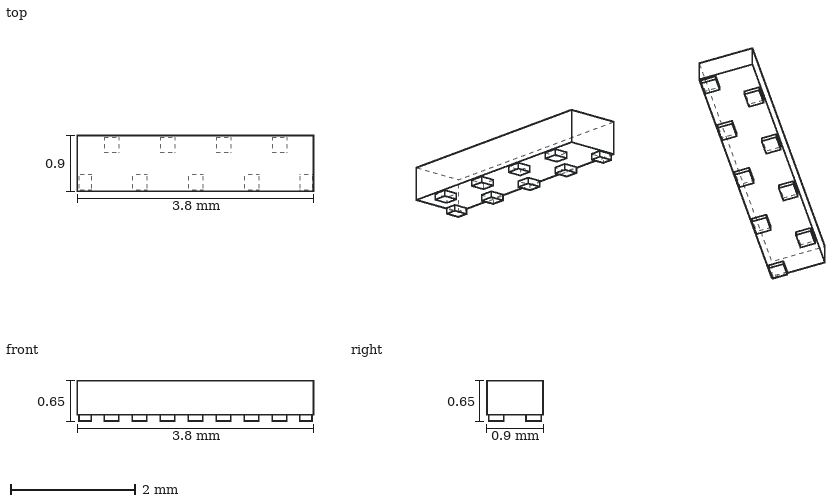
import cadquery as cq

LENGTH = 3.8
WIDTH = 0.9
TOTAL_HEIGHT = 0.65
PAD_HEIGHT = 0.1
HOUSING_HEIGHT = TOTAL_HEIGHT - PAD_HEIGHT

PAD_COUNT = 9
PAD_GRID_LENGTH = 3.6
PAD_PITCH = PAD_GRID_LENGTH / (PAD_COUNT - 1)
PAD_LENGTH = 0.24
END_PAD_LENGTH = 0.2
PAD_WIDTH = 0.247
EDGE_INSET = 0.025

ROW_Y = WIDTH / 2 - EDGE_INSET - PAD_WIDTH / 2
END_PAD_X = LENGTH / 2 - EDGE_INSET - END_PAD_LENGTH / 2


def make_housing():
    """Plain block resting on top of the pads, with the pad bottoms at Z = 0."""
    return (
        cq.Workplane("XY")
        .box(LENGTH, WIDTH, HOUSING_HEIGHT, centered=(True, True, False))
        .translate((0, 0, PAD_HEIGHT))
    )


def make_pad(x, y, length):
    """One rectangular contact pad under the housing."""
    return (
        cq.Workplane("XY")
        .box(length, PAD_WIDTH, PAD_HEIGHT, centered=(True, True, False))
        .translate((x, y, 0))
    )


def make_pads():
    """Pads evenly spaced along X, alternating between the rows; the end pads are shorter."""
    pads = []
    last = PAD_COUNT - 1
    for index in range(PAD_COUNT):
        y = -ROW_Y if index % 2 == 0 else ROW_Y
        if index == 0:
            pad = make_pad(-END_PAD_X, y, END_PAD_LENGTH)
        elif index == last:
            pad = make_pad(END_PAD_X, y, END_PAD_LENGTH)
        else:
            pad = make_pad((index - last / 2) * PAD_PITCH, y, PAD_LENGTH)
        pads.append(pad.val())
    return pads


housing = make_housing()
pads = make_pads()

result = cq.Compound.makeCompound([housing.val(), *pads])